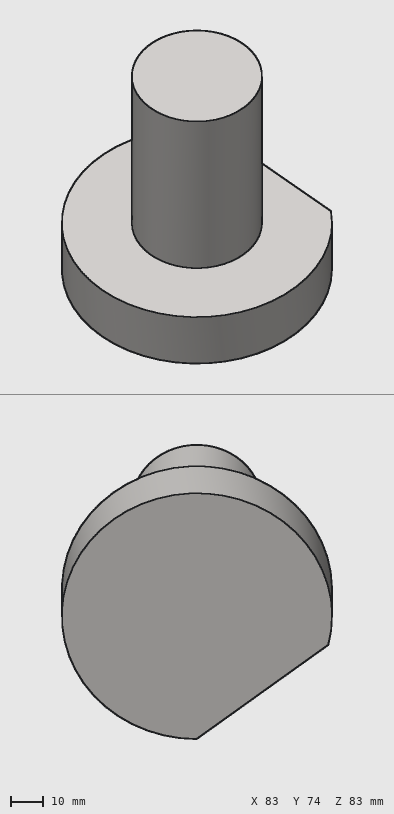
import cadquery as cq

flange_diameter = 83.0
flange_thickness = 20.0
flat_distance = 32.5
pin_diameter = 40.0
total_height = 83.0


def make_flange():
    """Round flange with one flat cut across its +Y side."""
    radius = flange_diameter / 2
    disc = cq.Workplane("XY").circle(radius).extrude(flange_thickness)
    beyond_flat = (
        cq.Workplane("XY")
        .center(0, flat_distance + radius / 2)
        .rect(flange_diameter, radius)
        .extrude(flange_thickness)
    )
    return disc.cut(beyond_flat)


def make_pin():
    """Plain cylindrical pin standing on the flange."""
    pin_length = total_height - flange_thickness
    return (
        cq.Workplane("XY")
        .workplane(offset=flange_thickness)
        .circle(pin_diameter / 2)
        .extrude(pin_length)
    )


result = make_flange().union(make_pin())